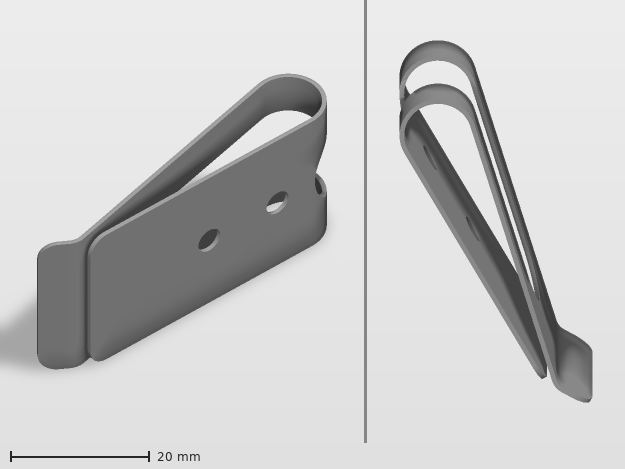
import cadquery as cq
import math

length = 52.7
width = 11.1
height = 25.0
thickness = 0.7
corner_radius = 3.0

loop_outer = width / 2
loop_inner = loop_outer - thickness
base_end_y = -40.7

arm_angle = math.radians(12.6)
tip_angle = math.radians(31)
bend_inner = 2.4
bend_outer = bend_inner + thickness
bend_y = -41.5
tip_end_y = loop_outer - length

slot_width = 11.55
slot_length = 32.45
slot_loop_end_y = 0.55
slot_loop_radius = 6.55

hole_diameter = 4.0
hole_positions_y = (-6.4, -18.9)


def polar(center, radius, angle):
    """Point on a circle, with the angle measured from +X."""
    return (center[0] + radius * math.cos(angle), center[1] + radius * math.sin(angle))


bend_x = -(loop_outer + bend_inner + bend_y * math.sin(arm_angle)) / math.cos(arm_angle)
bend_center = (bend_x, bend_y)
bend_middle = (arm_angle - tip_angle) / 2

bend_end = polar(bend_center, bend_outer, -tip_angle)
tip_length = (bend_end[1] - tip_end_y) / math.cos(tip_angle)


def tip_point(radius, distance):
    """Point on a tip face, at a distance beyond the end of the bend."""
    start = polar(bend_center, radius, -tip_angle)
    return (
        start[0] - distance * math.sin(tip_angle),
        start[1] - distance * math.cos(tip_angle),
    )


def bent_strip():
    """Full-height strip: base, loop, arm, bend and flared tip."""
    origin = (0, 0)
    loop_end = math.pi + arm_angle
    loop_middle = loop_end / 2
    return (
        cq.Workplane("XY")
        .workplane(offset=-height / 2)
        .moveTo(loop_outer, base_end_y)
        .lineTo(loop_outer, 0)
        .threePointArc(polar(origin, loop_outer, loop_middle), polar(origin, loop_outer, loop_end))
        .lineTo(*polar(bend_center, bend_inner, arm_angle))
        .threePointArc(
            polar(bend_center, bend_inner, bend_middle),
            polar(bend_center, bend_inner, -tip_angle),
        )
        .lineTo(*tip_point(bend_inner, tip_length))
        .lineTo(*tip_point(bend_outer, tip_length))
        .lineTo(*bend_end)
        .threePointArc(
            polar(bend_center, bend_outer, bend_middle),
            polar(bend_center, bend_outer, arm_angle),
        )
        .lineTo(*polar(origin, loop_inner, loop_end))
        .threePointArc(polar(origin, loop_inner, loop_middle), (loop_inner, 0))
        .lineTo(loop_inner, base_end_y)
        .close()
        .extrude(height)
    )


def round_end_corners(strip):
    """Round the four corners at the free ends of the base and the tip."""
    base_corners = strip.faces(cq.selectors.NearestToPointSelector((loop_outer, base_end_y, 0)))
    base_corners = base_corners.edges("|X")
    strip = base_corners.fillet(corner_radius)
    tip_middle = tip_point((bend_inner + bend_outer) / 2, tip_length)
    tip_face = strip.faces(cq.selectors.NearestToPointSelector((*tip_middle, 0)))
    return tip_face.edges("not |Z").fillet(corner_radius)


def arm_slot():
    """Slot square to the arm, with a round end, reaching over the crown of the loop."""
    half_width = slot_width / 2
    arc_start = half_width - slot_length
    slot = (
        cq.Workplane("YZ")
        .moveTo(loop_outer, -half_width)
        .lineTo(arc_start, -half_width)
        .threePointArc((-slot_length, 0), (arc_start, half_width))
        .lineTo(loop_outer, half_width)
        .close()
        .extrude(-width)
        .rotate((0, 0, 0), (0, 0, 1), math.degrees(arm_angle))
    )
    base_side = cq.Workplane("XY").box(width, 2 * length, height).translate((loop_inner + width / 2, 0, 0))
    return slot.cut(base_side)


def loop_cutout():
    """Round-bottomed end of the slot on the base side of the loop."""
    half_width = slot_width / 2
    center_y = slot_loop_end_y + slot_loop_radius
    disc = cq.Workplane("YZ").center(center_y, 0).circle(slot_loop_radius).extrude(width, both=True)
    slot_band = cq.Workplane("XY").box(2 * width, length, 2 * half_width)
    return disc.intersect(slot_band)


def base_holes():
    return (
        cq.Workplane("YZ")
        .pushPoints([(y, 0) for y in hole_positions_y])
        .circle(hole_diameter / 2)
        .extrude(width)
    )


clip = round_end_corners(bent_strip())
result = clip.cut(arm_slot()).cut(loop_cutout()).cut(base_holes())